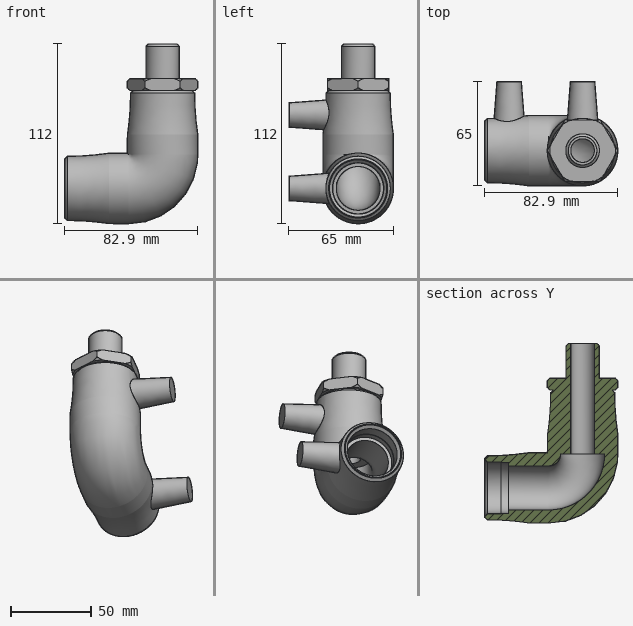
import cadquery as cq
import math

body_dia = 44.0
body_radius = body_dia / 2
bend_radius = 21.0
straight_end = 33.3
leg_end = 60.9
end_dia = 40.1
end_radius = end_dia / 2
end_chamfer = 1.7

nut_height = 7.4
nut_corner_dia = body_dia
nut_face_dia = 40.9
nut_chamfer_height = 1.7
pin_dia = 21.0
pin_chamfer = 1.6
pin_top = 112 - body_radius
pin_bore_dia = 14.7

bore_dia = 27.2
socket_dia = 32.0
socket_depth = 10.3
socket_mouth_chamfer = 1.8
inner_socket_dia = 31.6
inner_socket_depth = 14.8

peg_tip_dia = 15.3
peg_base_dia = 19.3
peg_base_y = 17.4
peg_tip_y = 65 - body_radius
peg_offset = 45.7


def onto_horizontal_leg(shape):
    """Swing a shape from the +Z axis onto the -X axis."""
    return shape.rotate((0, 0, 0), (0, 1, 0), -90)


def cylinder(diameter, start, end):
    """Upright cylinder on the Z axis."""
    return cq.Workplane("XY").workplane(offset=start).circle(diameter / 2).extrude(end - start)


def cone(start_dia, end_dia, start, end):
    """Upright truncated cone on the Z axis."""
    profile = [(0, start), (start_dia / 2, start), (end_dia / 2, end), (0, end)]
    return cq.Workplane("XZ").polyline(profile).close().revolve(360, (0, 0), (0, 1))


def leg():
    """Solid upright leg whose taper is a hollow arc, running parallel to the axis at its end."""
    taper_end = leg_end - end_chamfer
    length = taper_end - straight_end
    drop = body_radius - end_radius
    arc_radius = (length**2 + drop**2) / (2 * drop)
    half_angle = math.asin(length / arc_radius) / 2
    arc_middle = (
        end_radius + arc_radius * (1 - math.cos(half_angle)),
        taper_end - arc_radius * math.sin(half_angle),
    )
    return (
        cq.Workplane("XZ")
        .moveTo(0, bend_radius)
        .lineTo(body_radius, bend_radius)
        .lineTo(body_radius, straight_end)
        .threePointArc(arc_middle, (end_radius, taper_end))
        .lineTo(end_radius - end_chamfer, leg_end)
        .lineTo(0, leg_end)
        .close()
        .revolve(360, (0, 0), (0, 1))
    )


def bend(diameter):
    """Quarter turn joining the legs, with its section cut off at the turning axis."""
    section = cq.Sketch().circle(diameter / 2)
    section = section.push([(0, bend_radius - diameter)]).rect(2 * diameter, 2 * diameter, mode="i")
    return (
        cq.Workplane("YZ", origin=(-bend_radius, 0, 0))
        .placeSketch(section)
        .revolve(90, (0, bend_radius), (-1, bend_radius))
    )


def nut():
    """Hexagon with a corner on X and conical chamfers on both faces."""
    hexagon = cq.Workplane("XY").polygon(6, nut_corner_dia).extrude(nut_height)
    chamfer_width = (nut_corner_dia - nut_face_dia) / 2
    envelope = (
        cylinder(nut_corner_dia, 0, nut_height)
        .edges()
        .chamfer(nut_chamfer_height, chamfer_width)
    )
    return hexagon.intersect(envelope).translate((0, 0, leg_end))


def pin():
    """Plain shank with a chamfered tip."""
    return cylinder(pin_dia, leg_end, pin_top).faces(">Z").edges().chamfer(pin_chamfer)


def peg():
    """Tapered peg along +Y at the origin."""
    return cone(peg_base_dia, peg_tip_dia, peg_base_y, peg_tip_y).rotate((0, 0, 0), (1, 0, 0), -90)


def waterway():
    """Bore through the elbow, with the socket at one end and the pin bore at the other."""
    mouth_dia = socket_dia + 2 * socket_mouth_chamfer
    mouth = cone(socket_dia, mouth_dia, leg_end - socket_mouth_chamfer, leg_end)
    socket = cylinder(socket_dia, leg_end - socket_depth, leg_end)
    inner_socket = cylinder(inner_socket_dia, leg_end - inner_socket_depth, leg_end)
    straight = cylinder(bore_dia, bend_radius, leg_end)
    horizontal = straight.union(inner_socket).union(socket).union(mouth)
    upright = cylinder(pin_bore_dia, bend_radius, pin_top)
    return bend(bore_dia).union(onto_horizontal_leg(horizontal)).union(upright)


result = leg().union(onto_horizontal_leg(leg())).union(bend(body_dia))
result = result.union(nut()).union(pin())
result = result.union(peg().translate((-peg_offset, 0, 0)))
result = result.union(peg().translate((0, 0, peg_offset)))
result = result.cut(waterway())